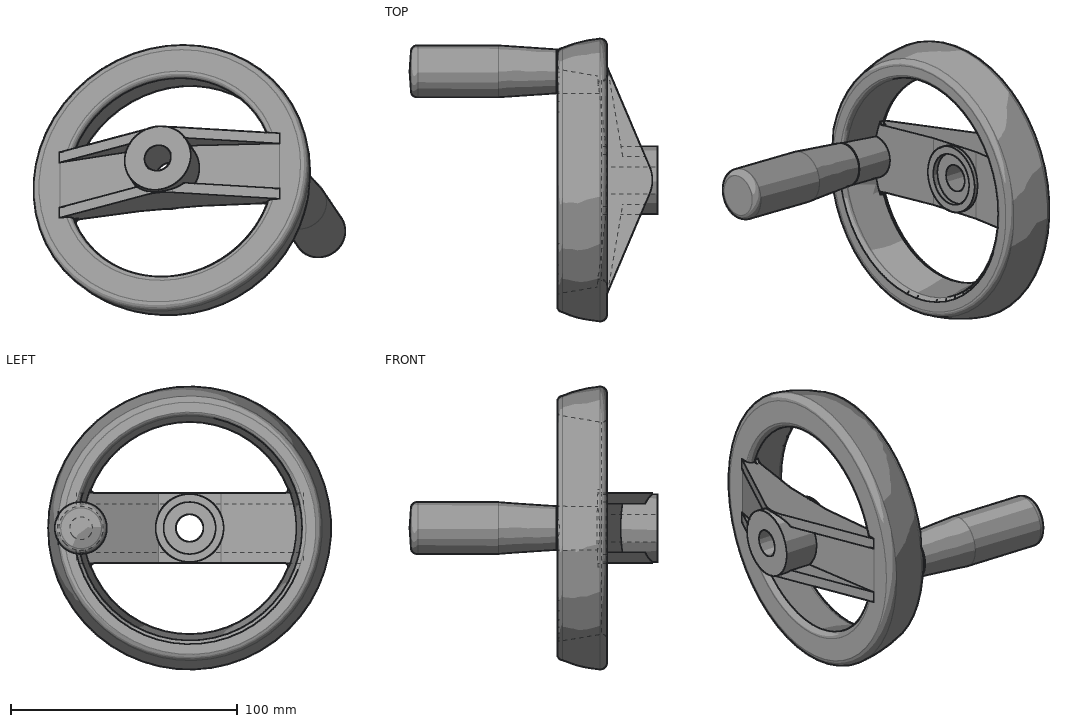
import cadquery as cq
import math


rim_radius = 62.4
rim_depth = 22.0
crown_x = 18.7
crown_rise = 0.69
front_edge_x = 2.2
outer_shoulder_radius = 58.3
front_land_outer = 55.5
front_land_inner = 51.2
inner_shoulder_radius = 49.5
bore_radius = 46.7
back_round = 3.1
bore_back_round = 2.5

spoke_width = 31.0
pocket_width = 21.2
slope_angle = 23.0
apex_x = 43.2
apex_round = 15.0
spoke_half_length = 50.5
flat_half_length = 13.7
web_middle_x = 21.5
web_end_x = 17.0
floor_middle_x = 29.5
floor_end_x = 21.8
floor_flat_half_length = 6.2
corner_round = 1.5

hub_diameter = 30.0
hub_front_x = 19.5
hub_back_x = 44.2
hub_bore_diameter = 12.0
recess_diameter = 23.0
recess_depth = 2.5

handle_y = 47.9
boss_diameter = 19.5
spindle_diameter = 10.0
handle_gap = 0.4
handle_end_radius = 9.7
grip_radius = 11.5
grip_start_x = -26.1
grip_end_x = -61.5
tip_x = -65.1
tip_edge_x = -64.5
tip_edge_radius = 9.0
tip_round_middle = (-63.6, 10.7)


def x_cylinder(diameter, start_x, end_x, y=0.0):
    """Solid cylinder along X, centred on the given Y and on Z = 0."""
    base = cq.Workplane("YZ", origin=(start_x, y, 0))
    return base.circle(diameter / 2).extrude(end_x - start_x)


def revolve_about_x(profile):
    return profile.close().revolve(360, (0, 0, 0), (1, 0, 0))


def rounded_midpoint(corner, start, end):
    """Point halfway along a round that replaces the corner between start and end."""
    pull = math.sqrt(2) - 1
    chord = ((start[0] + end[0]) / 2, (start[1] + end[1]) / 2)
    return tuple(c + (k - c) * pull for c, k in zip(chord, corner))


def make_rim():
    crown_mid = ((front_edge_x + crown_x) / 2, (outer_shoulder_radius + rim_radius) / 2 + crown_rise)
    outer_start = (0, front_land_outer)
    outer_end = (front_edge_x, outer_shoulder_radius)
    outer_corner = (0, outer_shoulder_radius)
    inner_start = (front_edge_x, inner_shoulder_radius)
    inner_end = (0, front_land_inner)
    inner_corner = (0, inner_shoulder_radius)
    bore_back_start = (rim_depth, bore_radius + bore_back_round)
    bore_back_end = (rim_depth - bore_back_round, bore_radius)
    back_top = (rim_depth, rim_radius - back_round)
    profile = (
        cq.Workplane("XY")
        .moveTo(*outer_start)
        .threePointArc(rounded_midpoint(outer_corner, outer_start, outer_end), outer_end)
        .threePointArc(crown_mid, (crown_x, rim_radius))
        .threePointArc(
            rounded_midpoint((rim_depth, rim_radius), (crown_x, rim_radius), back_top), back_top
        )
        .lineTo(*bore_back_start)
        .threePointArc(
            rounded_midpoint((rim_depth, bore_radius), bore_back_start, bore_back_end), bore_back_end
        )
        .lineTo(*inner_start)
        .threePointArc(rounded_midpoint(inner_corner, inner_start, inner_end), inner_end)
    )
    return revolve_about_x(profile)


def bent_line(middle_x, end_x, half_flat):
    """Open outline along Y: flat in the middle, sloping to both ends of the spoke."""
    return (
        cq.Workplane("XY")
        .moveTo(end_x, -spoke_half_length)
        .lineTo(middle_x, -half_flat)
        .lineTo(middle_x, half_flat)
        .lineTo(end_x, spoke_half_length)
    )


def make_spoke():
    wall_end_x = apex_x - spoke_half_length * math.tan(math.radians(slope_angle))
    body = (
        bent_line(web_middle_x, web_end_x, flat_half_length)
        .lineTo(wall_end_x, spoke_half_length)
        .lineTo(apex_x, 0)
        .lineTo(wall_end_x, -spoke_half_length)
        .close()
        .extrude(spoke_width / 2, both=True)
        .edges("|Z and >X")
        .fillet(apex_round)
    )
    pocket = (
        bent_line(floor_middle_x, floor_end_x, floor_flat_half_length)
        .lineTo(hub_back_x, spoke_half_length)
        .lineTo(hub_back_x, -spoke_half_length)
        .close()
        .extrude(pocket_width / 2, both=True)
    )
    return body.cut(pocket)


def make_corner_fills():
    """Rounded fills where the spoke sides run into the bore of the rim."""
    side_z = spoke_width / 2
    corner_y = math.sqrt(bore_radius**2 - side_z**2)
    slope = (web_middle_x - web_end_x) / (spoke_half_length - flat_half_length)
    fill_front_x = web_end_x + slope * (spoke_half_length - corner_y)
    depth = rim_depth - bore_back_round - fill_front_x
    opening = (
        cq.Workplane("YZ", origin=(fill_front_x, 0, 0))
        .moveTo(-corner_y, side_z)
        .threePointArc((0, bore_radius), (corner_y, side_z))
        .close()
        .extrude(depth)
        .edges("|X")
        .fillet(corner_round)
    )
    above_spoke = (
        cq.Workplane("XY", origin=(0, 0, side_z))
        .box(2 * rim_depth, 2 * rim_radius, rim_radius, centered=(True, True, False))
    )
    fill = (
        cq.Workplane("YZ", origin=(fill_front_x, 0, 0))
        .pushPoints([(-corner_y, side_z), (corner_y, side_z)])
        .rect(4 * corner_round, 2 * corner_round)
        .extrude(depth)
        .intersect(above_spoke)
        .cut(opening)
    )
    return fill.union(fill.mirror("XY"))


def make_handle():
    profile = (
        cq.Workplane("XY")
        .moveTo(-handle_gap, 0)
        .lineTo(-handle_gap, handle_end_radius)
        .lineTo(grip_start_x, grip_radius)
        .lineTo(grip_end_x, grip_radius)
        .threePointArc(tip_round_middle, (tip_edge_x, tip_edge_radius))
        .lineTo(tip_x, 0)
    )
    return revolve_about_x(profile).translate((0, handle_y, 0))


boss = x_cylinder(boss_diameter, 0, (web_end_x + floor_end_x) / 2, handle_y)
spindle = x_cylinder(spindle_diameter, -handle_gap, web_end_x, handle_y)

result = make_rim().union(make_spoke()).union(make_corner_fills()).union(boss)
result = result.union(x_cylinder(hub_diameter, hub_front_x, hub_back_x))
result = result.cut(x_cylinder(recess_diameter, hub_front_x, hub_front_x + recess_depth))
result = result.cut(x_cylinder(hub_bore_diameter, hub_front_x, hub_back_x))
result = result.union(spindle).union(make_handle())